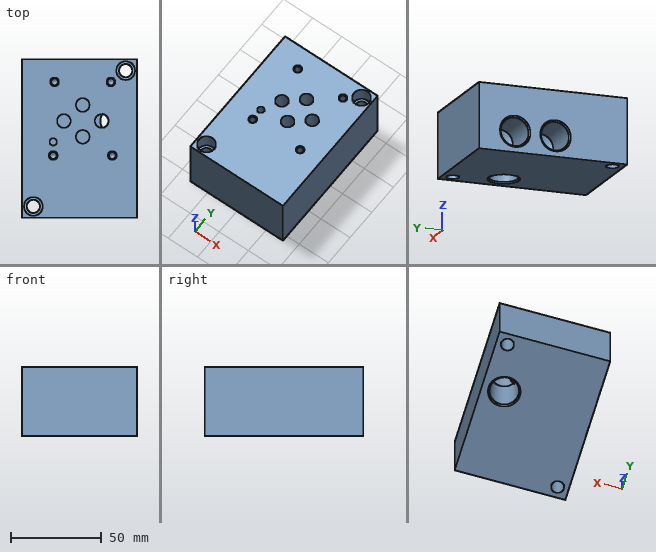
import cadquery as cq
import math

LENGTH_X = 63.5
LENGTH_Y = 87.38
HEIGHT = 38.1

MOUNT_EDGE_DISTANCE = 6.35
MOUNT_HOLE_DIAMETER = 7.14
MOUNT_BORE_DIAMETER = 10.31
MOUNT_BORE_DEPTH = 10.0

VALVE_DATUM_X = 49.02
VALVE_DATUM_EDGE_DISTANCE = 12.54
VALVE_DATUM_Y = LENGTH_Y - VALVE_DATUM_EDGE_DISTANCE
SCREW_ROW_SPACING = 40.5
UPPER_SCREW_ACROSS = (0.0, 31.0)
LOWER_SCREW_ACROSS = (-0.75, 31.75)
PIN_ACROSS = LOWER_SCREW_ACROSS[1]
PIN_ALONG = 33.0
VALVE_PORT_A = (15.5, 12.7)
VALVE_PORT_B = (15.5, 30.2)
VALVE_PORT_P = (25.9, 21.5)
VALVE_PORT_T = (5.1, 21.5)

SCREW_DIAMETER = 3.68
SCREW_MOUTH_DIAMETER = 4.83
SCREW_MOUTH_DEPTH = (SCREW_MOUTH_DIAMETER - SCREW_DIAMETER) / 2
SCREW_DEPTH = 12.7
PIN_DIAMETER = 4.01
PIN_DEPTH = 6.35
VALVE_PORT_DIAMETER = 7.49
VALVE_PORT_DEPTH = 16.0

LINE_PORT_THREAD_DIAMETER = 16.3
LINE_PORT_END_DIAMETER = 14.9
PIPE_TAPER = 1 / 16
LINE_PORT_MOUTH_DIAMETER = 18.0
LINE_PORT_MOUTH_DEPTH = (LINE_PORT_MOUTH_DIAMETER - LINE_PORT_THREAD_DIAMETER) / 2
LINE_PORT_TAPER_LENGTH = (LINE_PORT_THREAD_DIAMETER - LINE_PORT_END_DIAMETER) / PIPE_TAPER
LINE_PORT_DEPTH = LINE_PORT_MOUTH_DEPTH + LINE_PORT_TAPER_LENGTH
LINE_PORT_Z = 11.94
LINE_PORT_A_EDGE_DISTANCE = 21.3
LINE_PORT_A_Y = LENGTH_Y - LINE_PORT_A_EDGE_DISTANCE
LINE_PORT_PITCH = 23.8
BOTTOM_PORT_EDGE_DISTANCE = 12.7
BOTTOM_PORT_X = LENGTH_X - BOTTOM_PORT_EDGE_DISTANCE

DRILL_POINT_ANGLE = 120.0


def valve_point(across, along):
    """Position on the top face of a point in the valve pattern."""
    return (VALVE_DATUM_X - across, VALVE_DATUM_Y - along, HEIGHT)


def flat_hole(start, diameter, depth):
    """Flat-bottomed hole cutter running down from the start point."""
    down = cq.Vector(0, 0, -1)
    return cq.Workplane(cq.Solid.makeCylinder(diameter / 2, depth, cq.Vector(*start), down))


def drilled_hole(start, direction, mouth, wall_start, wall_end):
    """Drill-pointed hole cutter with a conical mouth.

    mouth is the diameter at the face; wall_start and wall_end are the (diameter, depth)
    at the two ends of the wall, which may taper.
    """
    start_diameter, start_depth = wall_start
    end_diameter, end_depth = wall_end
    end_radius = end_diameter / 2
    point_length = end_radius / math.tan(math.radians(DRILL_POINT_ANGLE / 2))
    cutter = (
        cq.Workplane(cq.Plane(origin=(0, 0, 0), xDir=(1, 0, 0), normal=(0, -1, 0)))
        .polyline([
            (0, 0),
            (mouth / 2, 0),
            (start_diameter / 2, start_depth),
            (end_radius, end_depth),
            (0, end_depth + point_length),
        ])
        .close()
        .revolve(360, (0, 0), (0, 1))
        .val()
    )
    return cq.Workplane(cutter.moved(cq.Location(cq.Plane(origin=start, normal=direction))))


def mounting_holes(body):
    """Two counterbored through holes at the -X -Y and +X +Y corners."""
    near_corner = (MOUNT_EDGE_DISTANCE, MOUNT_EDGE_DISTANCE, HEIGHT)
    far_corner = (LENGTH_X - MOUNT_EDGE_DISTANCE, LENGTH_Y - MOUNT_EDGE_DISTANCE, HEIGHT)
    for start in (near_corner, far_corner):
        body = body.cut(flat_hole(start, MOUNT_HOLE_DIAMETER, HEIGHT))
        body = body.cut(flat_hole(start, MOUNT_BORE_DIAMETER, MOUNT_BORE_DEPTH))
    return body


def valve_screw_holes(body):
    """Four blind screw holes with countersunk mouths."""
    points = [(across, 0) for across in UPPER_SCREW_ACROSS]
    points += [(across, SCREW_ROW_SPACING) for across in LOWER_SCREW_ACROSS]
    for across, along in points:
        body = body.cut(drilled_hole(
            valve_point(across, along), (0, 0, -1), SCREW_MOUTH_DIAMETER,
            wall_start=(SCREW_DIAMETER, SCREW_MOUTH_DEPTH),
            wall_end=(SCREW_DIAMETER, SCREW_DEPTH),
        ))
    return body


def valve_ports_and_pin(body):
    """Four flat-bottomed valve ports and the locating pin hole."""
    for across, along in (VALVE_PORT_A, VALVE_PORT_B, VALVE_PORT_P, VALVE_PORT_T):
        body = body.cut(flat_hole(valve_point(across, along), VALVE_PORT_DIAMETER, VALVE_PORT_DEPTH))
    return body.cut(flat_hole(valve_point(PIN_ACROSS, PIN_ALONG), PIN_DIAMETER, PIN_DEPTH))


def line_ports(body):
    """Side ports A and B, and the bottom port that opens into valve port T."""
    bottom_port_y = valve_point(*VALVE_PORT_T)[1]
    ports = [
        ((0, LINE_PORT_A_Y, LINE_PORT_Z), (1, 0, 0)),
        ((0, LINE_PORT_A_Y - LINE_PORT_PITCH, LINE_PORT_Z), (1, 0, 0)),
        ((BOTTOM_PORT_X, bottom_port_y, 0), (0, 0, 1)),
    ]
    for start, direction in ports:
        body = body.cut(drilled_hole(
            start, direction, LINE_PORT_MOUTH_DIAMETER,
            wall_start=(LINE_PORT_THREAD_DIAMETER, LINE_PORT_MOUTH_DEPTH),
            wall_end=(LINE_PORT_END_DIAMETER, LINE_PORT_DEPTH),
        ))
    return body


block = cq.Workplane("XY").box(LENGTH_X, LENGTH_Y, HEIGHT, centered=False)
block = mounting_holes(block)
block = valve_screw_holes(block)
block = valve_ports_and_pin(block)
result = line_ports(block)